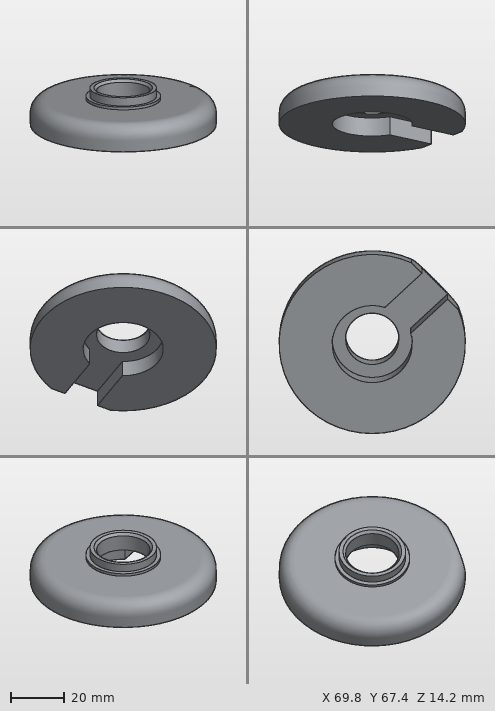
import cadquery as cq

disc_radius = 34.9
disc_height = 10.0
rim_radius = 5.6
flat_offset = 32.5

shoulder_radius = 14.0
shoulder_top = 11.0
collar_radius = 12.5
total_height = 14.2
bore_radius = 10.0
bore_chamfer = 1.0

recess_radius = 15.0
recess_depth = 7.1
slot_width = 13.95


def cylinder(radius, height):
    """Cylinder on the Z axis standing on the base plane."""
    return cq.Workplane("XY").circle(radius).extrude(height)


disc = cylinder(disc_radius, disc_height).faces(">Z").edges().fillet(rim_radius)
flat_trim = cq.Workplane("XY").box(
    2 * disc_radius, disc_radius, disc_height, centered=(True, False, False)
).translate((0, flat_offset, 0))
disc = disc.cut(flat_trim)

shoulder = cylinder(shoulder_radius, shoulder_top)
collar = cylinder(collar_radius, total_height)
bore = cylinder(bore_radius, total_height)
recess = cylinder(recess_radius, recess_depth)
slot = cq.Workplane("XY").box(
    slot_width, flat_offset, recess_depth, centered=(True, False, False)
)

body = disc.union(shoulder).union(collar)
body = body.cut(bore)
bore_rim = cq.selectors.RadiusNthSelector(0)
body = body.faces(">Z").edges(bore_rim).chamfer(bore_chamfer)
result = body.cut(recess).cut(slot)